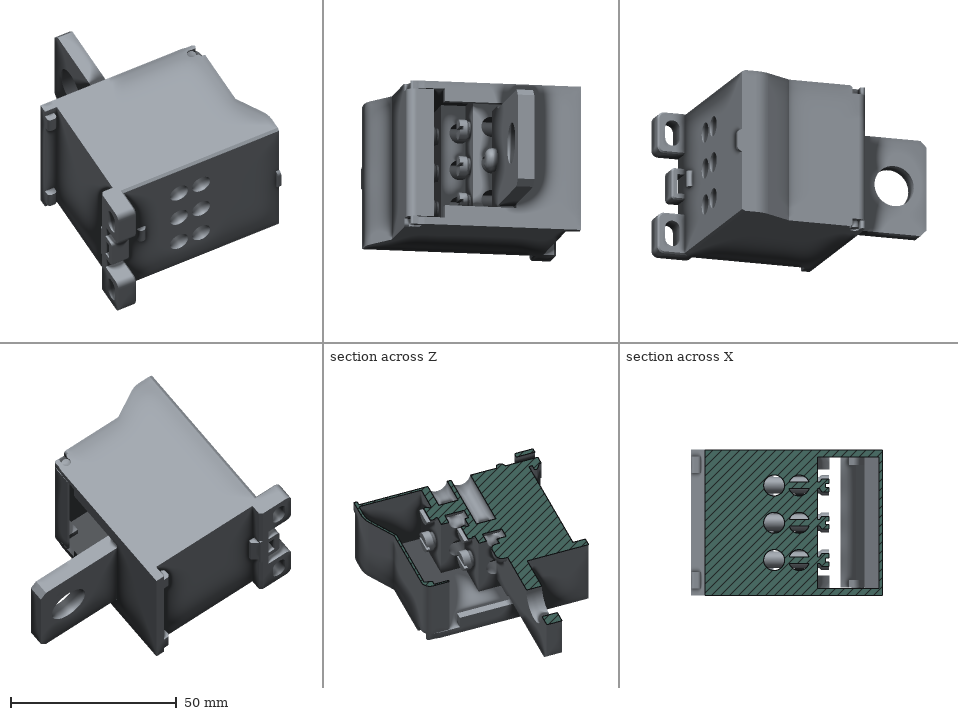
import cadquery as cq
import math


overall_length = 79.2
height = 44.0
half_height = height / 2
depth = 42.05
lid_y = 53.2
crest_y = 59.2
slope_start_x = 25.0
slope_angle = 30
crest_radius = 7.9
corner_radius = 2.8
rail_y = 4.0
rail_front_x = 2.85
rail_back_x = 39.0
back_bevel_x = 0.95
bevel_z = 0.5

wall = 2.2
rear_wall = 1.0
roof = 0.95
cavity_half_height = half_height - wall
floor_y = 19.9
window_half_height = 16.0
window_top_y = 41.7
lip_bottom_y = 45.1
lip_thickness = 0.8
lid_gap = 0.2
lid_half_height = cavity_half_height - lid_gap
slot_depth = half_height - lid_half_height

pin_diameter = 2.8
pin_radius = pin_diameter / 2
pin_x = 3.0
pin_y = 49.8
pin_recess = 0.5
throat_half_width = 1.3
horn_base_y = 48.0
horn_setback = 0.2
horn_shoulder_y = 51.3
horn_tip_y = 52.2
throat_corner = 0.5
throat_top_y = 51.9
throat_rounding = 1.0
lug_end_x = 5.8
cut_clearance = 0.8

tongue_length = 28.7
tongue_half_width = 14.9
tongue_top_y = 24.95
tongue_chamfer = 2.0
tongue_hole_radius = 6.25
tongue_hole_from_tip = 10.4
shoulder_x = 3.2
shoulder_rounding = 1.1

tiers = [(12.7, 30.65), (24.55, 38.2)]
tier_depth = tiers[1][0] - tiers[0][0]
column_pitch = 11.25
columns = [-column_pitch, 0, column_pitch]
wire_radius = 3.1
wire_below_tread = 5.6
head_diameter = 6.1
head_radius = head_diameter / 2
head_top = 3.5
neck_radius = 2.5
neck_height = 0.55
head_cone_top = 1.2
driver_slot_width = 1.0
driver_slot_depth = 1.1
dome_radius = 3.5
dome_height = 3.1
dome_rounding = 2.0
dome_x = 7.1

foot_y = 6.2
foot_bevel = 0.5
ear_end_x = overall_length - tongue_length
ear_inner_z = 9.35
ear_rounding = 2.05
ear_slot_x = 45.9
ear_slot_z = 15.7
ear_slot_length = 7.9
ear_slot_width = 4.6
tab_end_x = 46.1
tab_half_height = 4.9
tab_rounding = 1.0
tab_window_end_x = 44.3
tab_window_half_height = 3.0
edge_bevel_x = 0.95
edge_bevel_y = 0.7
edge_bevel_from_z = 6.0

catch_top_y = 3.1
front_catch_x = 5.1
front_catch_z = (14.9, 19.9)
front_catch_rounding = 1.0
back_catch_x = 37.0
back_catch_nose_y = 2.1
bump_reach = 1.4
bump_y = 12.0
bump_half_height = 2.45
hook_half_height = 3.4
hook_thickness = 1.2
hook_rounding = 1.35


def box(x0, x1, y0, y1, z0, z1):
    """Axis-aligned box between two limits on each axis."""
    return cq.Workplane("XY").box(x1 - x0, y1 - y0, z1 - z0, centered=False).translate((x0, y0, z0))


def bar(x0, x1, y0, y1, half):
    """Box centred on Z = 0."""
    return box(x0, x1, y0, y1, -half, half)


def rod(radius, x, y, z, length, direction):
    """Cylinder starting at a point and running along a direction."""
    return cq.Workplane(cq.Solid.makeCylinder(radius, length, cq.Vector(x, y, z), cq.Vector(*direction)))


def both_ends(shape):
    """A shape together with its mirror image across Z = 0."""
    return shape.union(shape.mirror("XY"))


def crest_points(offset):
    """Foot of the slope, both ends and middle of the crest arc, moved inward by an offset."""
    angle = math.radians(slope_angle)
    radius = crest_radius - offset
    centre_y = crest_y - crest_radius
    corner_x = slope_start_x + (crest_y - lid_y) / math.tan(angle)
    centre_x = corner_x + crest_radius * math.tan(angle / 2)

    def on_arc(turn):
        return (centre_x - radius * math.sin(turn), centre_y + radius * math.cos(turn))

    foot = (slope_start_x + offset * math.tan(angle / 2), lid_y - offset)
    return foot, on_arc(angle), on_arc(angle / 2), on_arc(0)


def housing_shell():
    foot, arc_start, arc_middle, arc_end = crest_points(0)
    corner_cut = corner_radius * (1 - math.cos(math.radians(45)))
    upper = (
        cq.Workplane("XY").workplane(offset=-half_height)
        .moveTo(0, rail_y).lineTo(depth, rail_y).lineTo(depth, crest_y)
        .lineTo(*arc_end).threePointArc(arc_middle, arc_start).lineTo(*foot)
        .lineTo(corner_radius, lid_y)
        .threePointArc((corner_cut, lid_y - corner_cut), (0, lid_y - corner_radius))
        .close().extrude(height)
    )
    bevel = (
        cq.Workplane("XZ", origin=(0, crest_y, 0))
        .polyline([(depth - back_bevel_x, half_height), (depth, half_height), (depth, half_height - bevel_z)])
        .close().extrude(crest_y - foot_y + foot_bevel)
    )
    front_leg = bar(0, rail_front_x, 0, rail_y, half_height)
    back_leg = bar(rail_back_x, depth, 0, rail_y, half_height)
    return upper.cut(both_ends(bevel)).union(front_leg).union(back_leg)


def cavity():
    foot, arc_start, arc_middle, arc_end = crest_points(roof)
    back_x = depth - rear_wall
    room = (
        cq.Workplane("XY").workplane(offset=-cavity_half_height)
        .moveTo(wall, floor_y).lineTo(back_x, floor_y).lineTo(back_x, crest_y - roof)
        .lineTo(*arc_end).threePointArc(arc_middle, arc_start).lineTo(*foot)
        .lineTo(corner_radius, lid_y - roof).lineTo(wall, pin_y)
        .close().extrude(2 * cavity_half_height)
    )
    behind_lip = bar(lip_thickness, corner_radius, window_top_y, pin_y, cavity_half_height)
    window = bar(0, wall, floor_y, window_top_y, window_half_height)
    below_lip = bar(0, wall, window_top_y, lip_bottom_y, cavity_half_height)
    side_gap = box(0, wall, lip_bottom_y, pin_y, lid_half_height, cavity_half_height)
    return room.union(behind_lip).union(window).union(below_lip).union(both_ends(side_gap))


def hinge_slots():
    """Open keyhole around each pin, with a horn in front and a rounded wall end behind."""
    left = pin_x - throat_half_width
    right = pin_x + throat_half_width
    wall_end_x = right + throat_corner
    above = lid_y + cut_clearance
    ahead = -cut_clearance
    slot = (
        cq.Workplane("XY").workplane(offset=lid_half_height)
        .moveTo(ahead, horn_base_y).lineTo(0, horn_base_y).lineTo(horn_setback, pin_y)
        .lineTo(horn_setback, horn_shoulder_y)
        .threePointArc(((horn_setback + left) / 2, horn_tip_y), (left, horn_shoulder_y))
        .lineTo(left, pin_y).lineTo(right, pin_y)
        .lineTo(right, throat_top_y - throat_corner).lineTo(wall_end_x, throat_top_y)
        .lineTo(wall_end_x, above).lineTo(ahead, above)
        .close().extrude(slot_depth)
    )
    seat = rod(pin_radius, pin_x, pin_y, lid_half_height, slot_depth, (0, 0, 1))
    arc_x = wall_end_x + throat_rounding
    arc_z = half_height - throat_rounding
    rounding = box(wall_end_x, arc_x, throat_top_y, above, arc_z, half_height)
    rounding = rounding.cut(rod(throat_rounding, arc_x, throat_top_y, arc_z, above - throat_top_y, (0, 1, 0)))
    return both_ends(slot.union(seat).union(rounding))


def hinge_lugs():
    """Ends of the lid that close the cavity behind the keyholes and carry the pins."""
    lug_z = lid_half_height - wall
    axis_y = lid_y - corner_radius
    lug = rod(corner_radius, corner_radius, axis_y, lug_z, wall, (0, 0, 1))
    lug = lug.union(box(corner_radius, lug_end_x, axis_y - corner_radius, lid_y, lug_z, lid_half_height))
    pin = rod(pin_radius, pin_x, pin_y, lug_z, wall + slot_depth - pin_recess, (0, 0, 1))
    return both_ends(lug.union(pin))


def tongue():
    blade = bar(-tongue_length, tiers[0][0], floor_y, tongue_top_y, tongue_half_width)
    blade = blade.edges("<X and |Y").chamfer(tongue_chamfer)
    root = bar(shoulder_x, tiers[0][0], floor_y, tongue_top_y, window_half_height)
    blade = blade.union(root.edges("<X and |Y").fillet(shoulder_rounding))
    hole_x = tongue_hole_from_tip - tongue_length
    return blade.cut(rod(tongue_hole_radius, hole_x, floor_y, 0, tongue_top_y - floor_y, (0, 1, 0)))


def terminal_steps():
    """Block rising toward the back in two treads."""
    steps = cq.Workplane("XY")
    for riser_x, tread_y in tiers:
        steps = steps.union(bar(riser_x, depth - rear_wall, floor_y, tread_y, cavity_half_height))
    return steps


def wire_holes():
    """One hole under every screw, from its riser out through the back wall."""
    holes = cq.Workplane("XY")
    for riser_x, tread_y in tiers:
        for z in columns:
            hole_y = tread_y - wire_below_tread
            holes = holes.union(rod(wire_radius, riser_x, hole_y, z, depth - riser_x, (1, 0, 0)))
    return holes


def slotted_screw(x, tread_y, z):
    """Slotted clamping screw whose shank crosses the wire hole below its tread."""
    tip = -wire_below_tread - wire_radius
    profile = [
        (0, tip), (neck_radius, tip), (neck_radius, neck_height),
        (head_radius, head_cone_top), (head_radius, head_top), (0, head_top),
    ]
    screw = cq.Workplane("XY").polyline(profile).close().revolve(360, (0, 0, 0), (0, 1, 0))
    slot = bar(-head_radius, head_radius, head_top - driver_slot_depth, head_top, driver_slot_width / 2)
    return screw.cut(slot).translate((x, tread_y, z))


def dome_screw():
    """Pan head of the screw standing on the root of the tongue."""
    head = rod(dome_radius, dome_x, tongue_top_y, 0, dome_height, (0, 1, 0))
    return head.faces(">Y").edges().fillet(dome_rounding)


def foot_plate(end_x, z0, z1, rounding):
    """Plate reaching out behind the housing, with rounded end and bevelled upper edges."""
    plate = box(rail_back_x, end_x, 0, foot_y, z0, z1)
    return plate.edges(">X and |Y").fillet(rounding).faces(">Y").edges().chamfer(foot_bevel)


def mounting_foot():
    slot = (
        cq.Workplane("XZ", origin=(ear_slot_x, foot_y, ear_slot_z))
        .slot2D(ear_slot_length, ear_slot_width, 90).extrude(foot_y)
    )
    ear = foot_plate(ear_end_x, ear_inner_z, half_height, ear_rounding).cut(slot)
    tab = foot_plate(tab_end_x, -tab_half_height, tab_half_height, tab_rounding)
    tab = tab.cut(bar(depth, tab_window_end_x, 0, foot_y, tab_window_half_height))
    return both_ends(ear).union(tab)


def foot_edge_bevel():
    """Lead-in bevel on the rail edge of the foot, left square in the middle."""
    bevel = (
        cq.Workplane("XY").workplane(offset=edge_bevel_from_z)
        .polyline([(rail_back_x, 0), (rail_back_x + edge_bevel_x, 0), (rail_back_x, edge_bevel_y)])
        .close().extrude(half_height - edge_bevel_from_z)
    )
    return both_ends(bevel)


def rail_catches():
    front = box(rail_front_x, front_catch_x, 0, catch_top_y, *front_catch_z)
    front = front.edges(">X and |Z").fillet(front_catch_rounding)
    back = (
        cq.Workplane("XY").workplane(offset=-tab_half_height)
        .polyline([
            (rail_back_x, catch_top_y), (back_catch_x, catch_top_y),
            (back_catch_x, back_catch_nose_y), (rail_back_x, edge_bevel_y),
        ])
        .close().extrude(2 * tab_half_height)
    )
    return both_ends(front).union(back)


def back_bumps():
    """Half-round bump low on the back face and a rounded hook at its crest."""
    bump = rod(bump_reach, depth, bump_y, -bump_half_height, 2 * bump_half_height, (0, 0, 1))
    bump = bump.intersect(bar(depth - rear_wall, depth + bump_reach, 0, crest_y, bump_half_height))
    hook = bar(depth, depth + bump_reach, crest_y - hook_thickness, crest_y, hook_half_height)
    return bump.union(hook.edges(">X and |Y").fillet(hook_rounding))


result = housing_shell().cut(cavity()).cut(hinge_slots()).union(hinge_lugs())
result = result.union(tongue()).union(terminal_steps()).cut(wire_holes())
for riser, tread in tiers:
    for column in columns:
        result = result.union(slotted_screw(riser + tier_depth / 2, tread, column))
result = result.union(dome_screw()).union(mounting_foot()).cut(foot_edge_bevel())
result = result.union(rail_catches()).union(back_bumps())